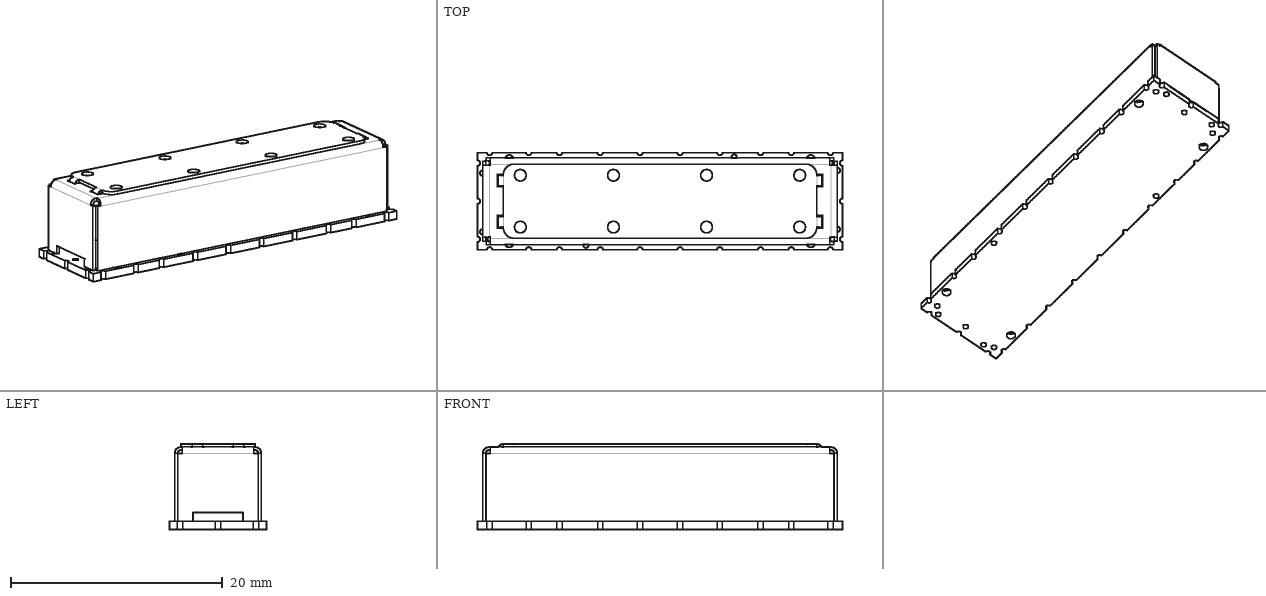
import cadquery as cq
import math

board_length = 34.5
board_width = 9.2
board_thickness = 0.8
notch_diameter = 0.5
long_edge_notch_x = [1.9, 5.65, 9.5, 12.4, 16.1]
short_edge_notch_y = [-3.6, 0, 3.6]
via_diameter = 0.5
via_places = [(-7.0, -4.15), (-16.75, 2.65), (-16.75, -2.9), (-16.35, 3.6), (-16.05, -3.6), (-16.2, 0)]

sheet = 0.3
cover_length = 33.5
cover_width = 8.2
cover_top = 7.8
bend_radius = 0.6
wall_end_setback = 0.32
corner_relief = 0.7
window_width = 4.7
window_height = 0.8

wall_hole_diameter = 0.8
wall_hole_x = 14.25
wall_hole_y = (cover_width - sheet) / 2

plate_thickness = 0.3
plate_length = 29.6
plate_width = 7.0
plate_corner_radius = 1.0
plate_hole_diameter = 1.1
plate_hole_columns = 4
plate_hole_pitch_x = 8.8
plate_hole_pitch_y = 4.9
tab_width = 1.0
tab_inner_radius = 0.2
tab_outer_radius = tab_inner_radius + plate_thickness
tab_y = 1.95
slot_clearance = 0.1
slot_length = tab_outer_radius + slot_clearance
slot_width = tab_width + 2 * slot_clearance


def make_board():
    """Flat board with half-round notches along its edges and through holes."""
    board = cq.Workplane("XY").box(board_length, board_width, board_thickness, centered=(True, True, False))
    notches = []
    for x in long_edge_notch_x:
        notches += [(sx * x, sy * board_width / 2) for sx in (-1, 1) for sy in (-1, 1)]
    for y in short_edge_notch_y:
        notches += [(sx * board_length / 2, y) for sx in (-1, 1)]
    notch_cutters = cq.Workplane("XY").pushPoints(notches).circle(notch_diameter / 2).extrude(board_thickness)

    vias = via_places + [(-x, -y) for x, y in via_places]
    via_cutters = cq.Workplane("XY").pushPoints(vias).circle(via_diameter / 2).extrude(board_thickness)

    wall_hole_cutters = (
        cq.Workplane("XY")
        .rect(2 * wall_hole_x, 2 * wall_hole_y, forConstruction=True)
        .vertices()
        .circle(wall_hole_diameter / 2)
        .extrude(board_thickness)
    )
    return board.cut(notch_cutters).cut(via_cutters).cut(wall_hole_cutters)


def box_on_board(length, width, top):
    """Block standing on the board and reaching up to the given height."""
    return (
        cq.Workplane("XY", origin=(0, 0, board_thickness))
        .box(length, width, top - board_thickness, centered=(True, True, False))
    )


def corner_relief_cutter(sx, sy):
    """Square cutter that ends both bends short of one upper corner."""
    return (
        cq.Workplane("XY")
        .box(2 * corner_relief, 2 * corner_relief, bend_radius, centered=(True, True, False))
        .translate((sx * cover_length / 2, sy * cover_width / 2, cover_top - bend_radius))
    )


def make_cover():
    """Open-bottom box with bent upper edges, open corners, end windows and tab slots."""
    outside = box_on_board(cover_length, cover_width, cover_top).faces(">Z").edges().fillet(bend_radius)
    inside = (
        box_on_board(cover_length - 2 * sheet, cover_width - 2 * sheet, cover_top - sheet)
        .faces(">Z").edges().fillet(bend_radius - sheet)
    )
    cover = outside.cut(inside)
    for sx in (-1, 1):
        for sy in (-1, 1):
            corner = (
                box_on_board(2 * wall_end_setback, 2 * wall_end_setback, cover_top)
                .translate((sx * cover_length / 2, sy * cover_width / 2, 0))
            )
            slot = (
                cq.Workplane("XY")
                .box(slot_length, slot_width, sheet)
                .translate((sx * (plate_length + slot_length) / 2, sy * tab_y, cover_top - sheet / 2))
            )
            cover = cover.cut(corner).cut(corner_relief_cutter(sx, sy)).cut(slot)
    windows = box_on_board(cover_length, window_width, board_thickness + window_height)
    return cover.cut(windows)


def make_tab(sx, y):
    """Quarter-round tab bent down from one end of the nameplate."""
    edge = sx * plate_length / 2
    bend_z = cover_top - tab_inner_radius
    diagonal = math.cos(math.pi / 4)

    def arc_middle(radius):
        return edge + sx * radius * diagonal, bend_z + radius * diagonal

    return (
        cq.Workplane("XZ", origin=(0, y + tab_width / 2, 0))
        .moveTo(edge, bend_z + tab_outer_radius)
        .threePointArc(arc_middle(tab_outer_radius), (edge + sx * tab_outer_radius, bend_z))
        .lineTo(edge + sx * tab_inner_radius, bend_z)
        .threePointArc(arc_middle(tab_inner_radius), (edge, bend_z + tab_inner_radius))
        .close()
        .extrude(tab_width)
    )


def make_nameplate():
    """Thin round-cornered plate with two rows of holes and four bent tabs."""
    plate = (
        cq.Workplane("XY", origin=(0, 0, cover_top))
        .box(plate_length, plate_width, plate_thickness, centered=(True, True, False))
        .edges("|Z").fillet(plate_corner_radius)
        .faces(">Z").workplane(origin=(0, 0, 0))
        .rarray(plate_hole_pitch_x, plate_hole_pitch_y, plate_hole_columns, 2)
        .hole(plate_hole_diameter)
    )
    for sx in (-1, 1):
        for sy in (-1, 1):
            plate = plate.union(make_tab(sx, sy * tab_y))
    return plate


board = make_board()
cover = make_cover()
nameplate = make_nameplate()

result = cq.Compound.makeCompound([board.solids().val(), cover.solids().val(), nameplate.solids().val()])